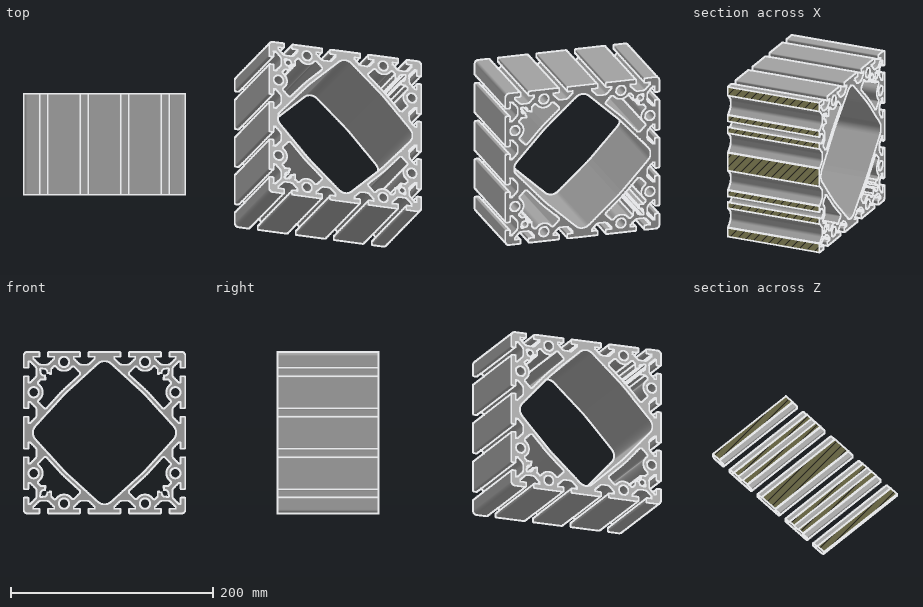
import cadquery as cq
import math

side = 160.0
length = 100.0
half = side / 2
corner_radius = 4.0
quarter_turn = 90.0
quarters = 4

slot_count = 4
slot_pitch = side / slot_count
slot_opening = 8.0
slot_inner_width = 20.4
slot_lip = 5.0
slot_wall_depth = 6.8
slot_depth = 12.75
slot_floor_radius = 4.5
lip_radius = 1.4

bore_diameter = 10.0
bore_along = slot_pitch
bore_depth = 10.0
boss_radius = 9.0

cavity_apothem = 54.7
cavity_flat_half_width = 3.0
cavity_corner_radius = 10.0
bend_angle = 2.6
bend_slope = math.tan(math.radians(quarter_turn / 2 - bend_angle))
web_thickness = 4.0

slot_side_notch_sum = 44.4
slot_side_notch_radius = 1.5
web_side_notch_difference = 35.3
web_side_notch_radius = 1.8
web_corner_radius = 2.0

channel_place = 20.1
channel_radius = 3.25
channel_relief_place = 17.8
channel_relief_radius = 1.5
tab_inner = channel_place + channel_radius
tab_outer = 27.5
tab_end = 21.2
tab_bead_radius = 0.9
tab_bead_along = tab_outer - tab_bead_radius


def unit(start, end):
    """Unit vector from one point to another."""
    span = math.dist(start, end)
    return (end[0] - start[0]) / span, (end[1] - start[1]) / span


def corner_arc(before, corner, after, radius):
    """Start, middle and end of the arc that rounds a corner."""
    back = unit(corner, before)
    ahead = unit(corner, after)
    middle = unit((0, 0), (back[0] + ahead[0], back[1] + ahead[1]))
    half_angle = math.acos(back[0] * ahead[0] + back[1] * ahead[1]) / 2
    setback = radius / math.tan(half_angle)
    reach = radius / math.sin(half_angle) - radius
    steps = [(back, setback), (middle, reach), (ahead, setback)]
    return [(corner[0] + way[0] * step, corner[1] + way[1] * step) for way, step in steps]


def rounded_prism(corners):
    """Extrude a closed outline of (x, z, radius) corners; radius 0 keeps a corner sharp.

    The first corner must be sharp.
    """
    points = [(x, z) for x, z, _ in corners]
    outline = cq.Workplane("XZ").moveTo(*points[0])
    for index in range(1, len(corners)):
        radius = corners[index][2]
        if radius == 0:
            outline = outline.lineTo(*points[index])
            continue
        after = points[(index + 1) % len(points)]
        start, middle, end = corner_arc(points[index - 1], points[index], after, radius)
        outline = outline.lineTo(*start).threePointArc(middle, end)
    return outline.close().extrude(length / 2, both=True)


def rod(along, depth, radius):
    """A full-length cylinder placed from the -X side and the +Z side."""
    plane = cq.Workplane("XZ").center(along - half, half - depth)
    return plane.circle(radius).extrude(length / 2, both=True)


def turned(solid, quarter):
    """The solid turned about the Y axis by a number of quarter turns."""
    return solid.rotate((0, 0, 0), (0, 1, 0), quarter_turn * quarter)


def t_slot(centre):
    """One T-slot in the +Z side, with rounded lips and 45 degree flanks blending into a flat floor."""
    opening = slot_opening / 2
    inner = slot_inner_width / 2
    floor = inner - (slot_depth - slot_wall_depth)
    mouth = opening + 2 * lip_radius
    clearance = lip_radius
    profile = [
        (mouth, -clearance, 0),
        (mouth, 0, 0),
        (opening, 0, lip_radius),
        (opening, slot_lip, lip_radius),
        (inner, slot_lip, 0),
        (inner, slot_wall_depth, 0),
        (floor, slot_depth, slot_floor_radius),
    ]
    corners = [(centre + x, half - depth, radius) for x, depth, radius in profile]
    corners += [(centre - x, half - depth, radius) for x, depth, radius in reversed(profile)]
    return rounded_prism(corners)


def bend_point(apothem):
    """The larger and smaller coordinate of a bend on a diamond side at the given apothem."""
    widening = (apothem - cavity_apothem) * math.tan(math.radians(bend_angle / 2))
    flat_half_width = cavity_flat_half_width + widening
    return (apothem + flat_half_width) / math.sqrt(2), (apothem - flat_half_width) / math.sqrt(2)


def central_cavity():
    """The bent-sided diamond through the middle of the part."""
    far, near = bend_point(cavity_apothem)
    tip = far + near * bend_slope
    corners = []
    for cosine, sine in ((1, 0), (0, 1), (-1, 0), (0, -1)):
        for x, z, radius in ((far, near, 0), (near, far, 0), (0, tip, cavity_corner_radius)):
            corners.append((x * cosine - z * sine, x * sine + z * cosine, radius))
    return rounded_prism(corners)


def corner_pocket():
    """The pocket in the -X +Z corner, symmetric about the corner's diagonal."""
    boss_tip = bore_depth + boss_radius * math.sqrt(2)
    tangent_difference = bore_along - boss_tip
    tangent_sum = bore_along + boss_tip
    far, near = bend_point(cavity_apothem + web_thickness)
    web_bend_along = half - near
    web_bend_depth = half - far
    web_reach = web_bend_depth + bend_slope * web_bend_along
    web_corner_along = (web_reach + web_side_notch_difference) / (1 + bend_slope)

    upper_half = [
        (tab_inner, channel_place, 0),
        (tab_inner, tab_end, 0),
        (tab_outer, tab_end, 0),
        (tab_outer, slot_side_notch_sum - tab_outer, 0),
        (
            (slot_side_notch_sum + tangent_difference) / 2,
            (slot_side_notch_sum - tangent_difference) / 2,
            slot_side_notch_radius,
        ),
        (bore_along, boss_tip, boss_radius),
        (
            (tangent_sum + web_side_notch_difference) / 2,
            (tangent_sum - web_side_notch_difference) / 2,
            web_side_notch_radius,
        ),
        (web_corner_along, web_corner_along - web_side_notch_difference, web_corner_radius),
        (web_bend_along, web_bend_depth, 0),
    ]
    lower_half = [(depth, along, radius) for along, depth, radius in reversed(upper_half)]
    outline = [(channel_place, channel_place, 0)] + upper_half + lower_half
    pocket = rounded_prism([(along - half, half - depth, radius) for along, depth, radius in outline])
    pocket = pocket.union(rod(channel_place, channel_place, channel_radius))
    pocket = pocket.union(rod(channel_relief_place, channel_relief_place, channel_relief_radius))
    pocket = pocket.cut(rod(tab_bead_along, tab_end, tab_bead_radius))
    return pocket.cut(rod(tab_end, tab_bead_along, tab_bead_radius))


def side_openings():
    """All openings that repeat for each side: T-slots, two bores and one corner pocket."""
    openings = corner_pocket()
    for index in range(slot_count):
        openings = openings.union(t_slot((index + 0.5) * slot_pitch - half))
    for along in (bore_along, side - bore_along):
        openings = openings.union(rod(along, bore_depth, bore_diameter / 2))
    return openings


result = cq.Workplane("XY").box(side, length, side).edges("|Y").fillet(corner_radius)
result = result.cut(central_cavity())
openings = side_openings()
for quarter in range(quarters):
    result = result.cut(turned(openings, quarter))